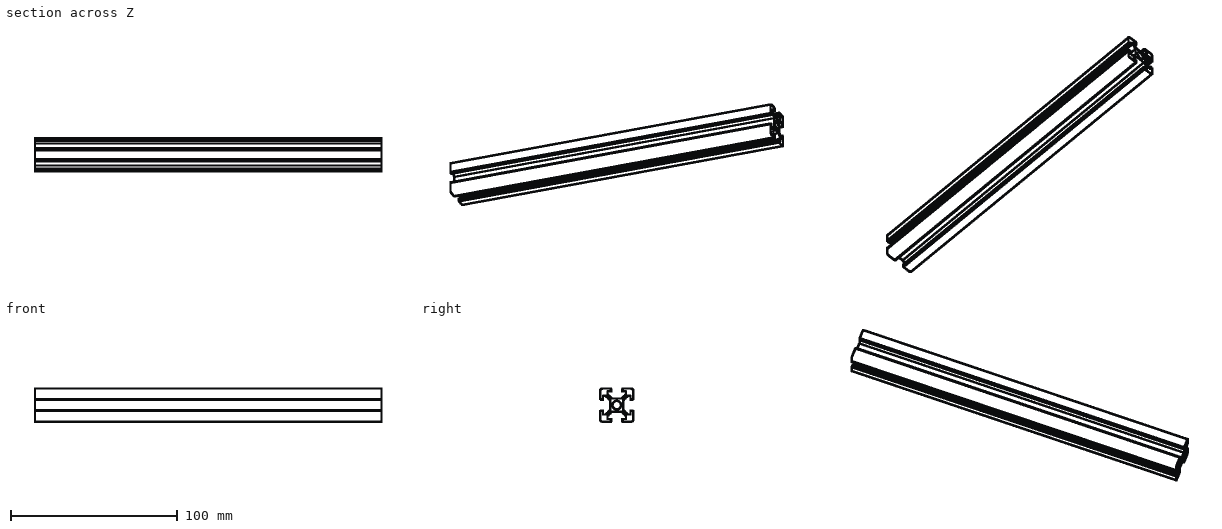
import cadquery as cq
import math

length = 208.0
width = 20.0
corner_radius = 1.5

slot_opening = 6.2
mouth_step_width = 0.5
mouth_step_depth = 0.5
slot_inner_width = 11.0
lip_thickness = 1.8

core_width = 8.0
bore_diameter = 5.0
arm_thickness = 1.5

slots_per_section = 4
slot_spacing = 360.0 / slots_per_section


def make_bar():
    bar = cq.Workplane("YZ").rect(width, width).extrude(length)
    return bar.edges("|X").fillet(corner_radius)


def make_slot():
    """Cutter for the slot on the +Z side, symmetric about the XZ plane."""
    half_opening = slot_opening / 2
    half_mouth = half_opening + mouth_step_width
    half_inner = slot_inner_width / 2
    half_core = core_width / 2
    face = width / 2
    step_floor = face - mouth_step_depth
    lip_underside = face - lip_thickness
    arm_offset = arm_thickness / math.sqrt(2)
    half_floor = half_core - arm_offset
    wall_foot = half_inner + arm_offset

    right_side = [
        (half_floor, half_core),
        (half_inner, wall_foot),
        (half_inner, lip_underside),
        (half_opening, lip_underside),
        (half_opening, step_floor),
        (half_mouth, step_floor),
        (half_mouth, face),
    ]
    left_side = [(-y, z) for y, z in reversed(right_side)]
    return cq.Workplane("YZ").polyline(right_side + left_side).close().extrude(length)


def make_bore():
    return cq.Workplane("YZ").circle(bore_diameter / 2).extrude(length)


profile = make_bar().cut(make_bore())
slot = make_slot()
for index in range(slots_per_section):
    profile = profile.cut(slot.rotate((0, 0, 0), (1, 0, 0), index * slot_spacing))

result = profile